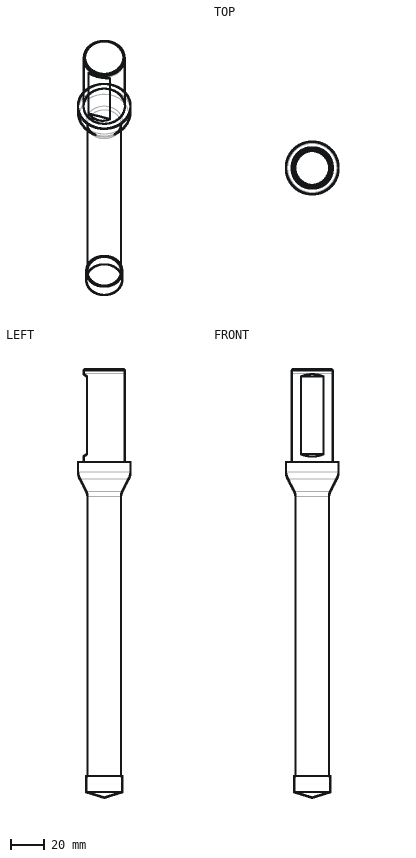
import math

import cadquery as cq

overall_length = 259.0

shank_diameter = 24.99
shank_length = 56.0
shank_chamfer = 0.8
shank_lead_width = 0.1
shank_lead_length = 1.8

flat_depth = 2.0
flat_top_margin = 3.0
flat_bottom_margin = 3.2
flat_runout = 1.5

collar_diameter = 32.0
collar_height = 6.0
collar_chamfer = 0.2
taper_half_angle = math.radians(30)
collar_round_radius = 8.5
neck_fillet_radius = 6.0
collar_to_stem_length = 20.8

stem_diameter = 20.5
head_diameter = 21.9
head_wall_height = 9.7
point_half_angle = math.radians(73)

shank_radius = shank_diameter / 2
collar_radius = collar_diameter / 2
stem_radius = stem_diameter / 2
head_radius = head_diameter / 2
lead_radius = shank_radius - shank_lead_width

lead_top_z = overall_length - shank_chamfer
lead_bottom_z = lead_top_z - shank_lead_length
collar_top_z = overall_length - shank_length
collar_bottom_z = collar_top_z - collar_height
stem_top_z = collar_top_z - collar_to_stem_length
point_height = head_radius / math.tan(point_half_angle)
head_top_z = point_height + head_wall_height


def arc_point(center, radius, angle):
    """Point on a circle in the (radius, Z) half plane."""
    return (center[0] + radius * math.cos(angle), center[1] + radius * math.sin(angle))


def make_revolved_body():
    """Shank, collar, taper and stem as one turned profile."""
    round_center = (collar_radius - collar_round_radius, collar_bottom_z)
    fillet_center = (stem_radius + neck_fillet_radius, stem_top_z)
    round_middle = arc_point(round_center, collar_round_radius, -taper_half_angle / 2)
    round_end = arc_point(round_center, collar_round_radius, -taper_half_angle)
    fillet_start = arc_point(fillet_center, neck_fillet_radius, math.pi - taper_half_angle)
    fillet_middle = arc_point(fillet_center, neck_fillet_radius, math.pi - taper_half_angle / 2)
    return (
        cq.Workplane("XZ")
        .moveTo(0, overall_length)
        .lineTo(lead_radius - shank_chamfer, overall_length)
        .lineTo(lead_radius, lead_top_z)
        .lineTo(shank_radius, lead_bottom_z)
        .lineTo(shank_radius, collar_top_z)
        .lineTo(collar_radius - collar_chamfer, collar_top_z)
        .lineTo(collar_radius, collar_top_z - collar_chamfer)
        .lineTo(collar_radius, collar_bottom_z)
        .threePointArc(round_middle, round_end)
        .lineTo(*fillet_start)
        .threePointArc(fillet_middle, (stem_radius, stem_top_z))
        .lineTo(stem_radius, head_top_z)
        .lineTo(0, head_top_z)
        .close()
        .revolve(360, (0, 0), (0, 1))
    )


def make_flat_cutter():
    """Prism that removes the clamping flat, with sloped run-outs at both ends."""
    floor_y = shank_radius - flat_depth
    top_z = overall_length - flat_top_margin
    bottom_z = collar_top_z + flat_bottom_margin
    return (
        cq.Workplane("YZ")
        .moveTo(shank_radius, bottom_z)
        .lineTo(floor_y, bottom_z + flat_runout)
        .lineTo(floor_y, top_z - flat_runout)
        .lineTo(shank_radius, top_z)
        .close()
        .extrude(shank_radius, both=True)
    )


def make_drill_body():
    return make_revolved_body().cut(make_flat_cutter())


def make_drill_head():
    """Cylindrical head with a conical point, seated on the end of the stem."""
    return (
        cq.Workplane("XZ")
        .moveTo(0, 0)
        .lineTo(head_radius, point_height)
        .lineTo(head_radius, head_top_z)
        .lineTo(0, head_top_z)
        .close()
        .revolve(360, (0, 0), (0, 1))
    )


drill_body = make_drill_body()
drill_head = make_drill_head()

result = cq.Compound.makeCompound([drill_body.val(), drill_head.val()])